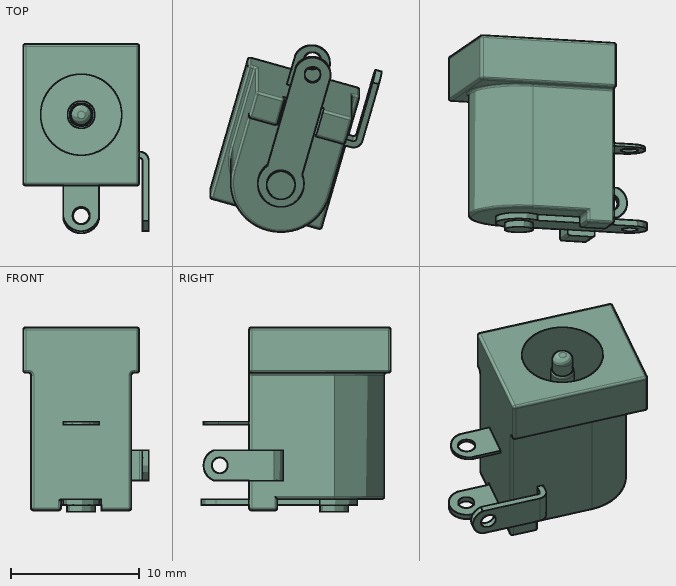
import cadquery as cq
import math


top_z = 14.3
cap_width = 9.0
cap_depth = 11.0
cap_height = 3.53
cap_bottom_z = top_z - cap_height
body_width = 7.79
body_base_z = 0.98
back_arc_y = 6.6
foot_bottom_z = 0.1
foot_depth = 2.2
slot_width = 3.12
slot_corner_radius = 0.15
edge_radius = 0.2
neck_radius = 0.19

socket_radius = 3.15
socket_depth = 9.0
socket_floor_z = top_z - socket_depth
socket_y = cap_depth / 2
pin_radius = 0.8
pin_flat_radius = 0.3
collar_radius = 0.9
collar_drop = 1.53
collar_rounding = 0.32
root_radius = 1.06

plate_thickness = 0.47
plate_bottom_z = body_base_z - plate_thickness
plate_disc_radius = 1.8
rivet_radius = 1.1

lug_width = 2.8
lug_tip_radius = 1.43
plate_lug_tip_y = -2.28
plate_lug_hole_y = -2.35
plate_lug_hole_radius = 0.62
thin_lug_tip_y = -2.1
thin_lug_hole_y = -2.32
thin_lug_hole_radius = 0.68
thin_lug_thickness = 0.24
thin_lug_z = 6.76
side_lug_width = 2.35
side_lug_tip_radius = 1.26
side_lug_hole_radius = 0.6
side_lug_tip_y = -2.26
side_lug_thickness = 0.5
side_lug_z = 3.6
side_lug_outer_x = 5.25
side_lug_back_y = 2.65
side_lug_bend_radius = 0.24


def upright_cylinder(radius, y, start_z, end_z):
    """Vertical cylinder on the symmetry plane."""
    return cq.Workplane("XY", origin=(0, y, start_z)).circle(radius).extrude(end_z - start_z)


def make_lug(plane, thickness, width, back_y, tip_y, tip_radius):
    """Flat strip with a disc-shaped tip, on a plane whose local y is the part's Y."""
    half_width = width / 2
    arc_start_y = tip_y - math.sqrt(tip_radius**2 - half_width**2)
    return (
        cq.Workplane(plane)
        .moveTo(-half_width, back_y)
        .lineTo(-half_width, arc_start_y)
        .threePointArc((0, tip_y - tip_radius), (half_width, arc_start_y))
        .lineTo(half_width, back_y)
        .close()
        .extrude(thickness)
    )


def drill_lug(lug, plane, thickness, hole_y, hole_radius):
    """Cut the solder hole through a lug made on the same plane."""
    return lug.cut(cq.Workplane(plane).center(0, hole_y).circle(hole_radius).extrude(thickness))


def make_shell():
    """Solid cap, body and foot block, before any edge is rounded."""
    half_width = body_width / 2
    cap = cq.Workplane("XY", origin=(0, 0, cap_bottom_z)).box(
        cap_width, cap_depth, cap_height, centered=(True, False, False)
    )
    body = (
        cq.Workplane("XY", origin=(0, 0, body_base_z))
        .moveTo(-half_width, 0)
        .lineTo(half_width, 0)
        .lineTo(half_width, back_arc_y)
        .threePointArc((0, back_arc_y + half_width), (-half_width, back_arc_y))
        .close()
        .extrude(cap_bottom_z - body_base_z)
    )
    foot_block = cq.Workplane("XY", origin=(0, 0, foot_bottom_z)).box(
        body_width, foot_depth, body_base_z - foot_bottom_z, centered=(True, False, False)
    )
    return cap.union(body).union(foot_block)


def round_edges(shell):
    """Round the inside corner under the cap, then every outer edge."""
    near = 0.01
    neck_half_width = body_width / 2 + neck_radius + near
    neck_edges = cq.selectors.BoxSelector(
        (-neck_half_width, near, cap_bottom_z - neck_radius - near),
        (neck_half_width, cap_depth - near, cap_bottom_z + near),
    )
    arc_seams = cq.selectors.BoxSelector(
        (-body_width, back_arc_y - near, body_base_z + near),
        (body_width, back_arc_y + near, cap_bottom_z - near),
    )
    foot_corner = cq.selectors.BoxSelector(
        (-near, foot_depth - near, body_base_z - near),
        (near, foot_depth + near, body_base_z + near),
    )
    shell = shell.edges(neck_edges).fillet(neck_radius)
    outer_edges = cq.selectors.InverseSelector(neck_edges + arc_seams + foot_corner)
    return shell.edges(outer_edges).fillet(edge_radius)


def cut_foot_slot(shell):
    """Split the foot block into two feet; round the left front edge and both inner corners."""
    slot = cq.Workplane("XY", origin=(0, 0, foot_bottom_z)).box(
        slot_width, foot_depth, body_base_z - foot_bottom_z, centered=(True, False, False)
    )
    left_front_edge = cq.selectors.NearestToPointSelector(
        (-slot_width / 2, 0, (foot_bottom_z + edge_radius + body_base_z) / 2)
    )
    shell = shell.cut(slot).edges(left_front_edge).fillet(edge_radius)
    for side in (-1, 1):
        inner_corner = cq.selectors.NearestToPointSelector(
            (side * slot_width / 2, foot_depth / 2, body_base_z)
        )
        shell = shell.edges(inner_corner).fillet(slot_corner_radius)
    return shell


def make_thin_lug():
    """Flat horizontal lug on the front face."""
    plane = cq.Plane(origin=(0, 0, thin_lug_z))
    lug = make_lug(plane, thin_lug_thickness, lug_width, 0, thin_lug_tip_y, lug_tip_radius)
    return drill_lug(lug, plane, thin_lug_thickness, thin_lug_hole_y, thin_lug_hole_radius)


def make_side_lug():
    """Upright lug that leaves the right side and bends towards the front."""
    thickness = side_lug_thickness
    outer_radius = side_lug_bend_radius + thickness
    outer_x = side_lug_outer_x
    inner_x = outer_x - thickness
    back_y = side_lug_back_y
    bend_y = back_y - outer_radius
    bend = (
        cq.Workplane("XY", origin=(0, 0, side_lug_z - side_lug_width / 2))
        .moveTo(body_width / 2, back_y)
        .lineTo(outer_x - outer_radius, back_y)
        .radiusArc((outer_x, bend_y), outer_radius)
        .lineTo(inner_x, bend_y)
        .radiusArc((outer_x - outer_radius, back_y - thickness), -side_lug_bend_radius)
        .lineTo(body_width / 2, back_y - thickness)
        .close()
        .extrude(side_lug_width)
    )
    plane = cq.Plane(origin=(inner_x, 0, side_lug_z), xDir=(0, 0, -1), normal=(1, 0, 0))
    arm = make_lug(plane, thickness, side_lug_width, bend_y, side_lug_tip_y, side_lug_tip_radius)
    return bend.union(drill_lug(arm, plane, thickness, side_lug_tip_y, side_lug_hole_radius))


def make_housing():
    """Moulding with its socket, the hole for the pin root and two fixed lugs."""
    shell = cut_foot_slot(round_edges(make_shell()))
    socket = upright_cylinder(socket_radius, socket_y, socket_floor_z, top_z)
    root_hole = upright_cylinder(root_radius, socket_y, body_base_z, socket_floor_z)
    return shell.cut(socket).cut(root_hole).union(make_thin_lug()).union(make_side_lug())


def make_pin():
    """Stepped pin from the plate up to the top face, with rounded tip and collar."""
    tip_rounding = pin_radius - pin_flat_radius
    root = upright_cylinder(root_radius, socket_y, body_base_z, socket_floor_z)
    arc_centre_inset = pin_radius - (collar_radius - collar_rounding)
    arc_rise = collar_rounding - math.sqrt(collar_rounding**2 - arc_centre_inset**2)
    collar_top_z = top_z - collar_drop + arc_rise
    collar = upright_cylinder(collar_radius, socket_y, socket_floor_z, collar_top_z)
    collar = collar.faces(">Z").edges().fillet(collar_rounding)
    tip = upright_cylinder(pin_radius, socket_y, socket_floor_z, top_z)
    tip = tip.faces(">Z").edges().fillet(tip_rounding)
    return root.union(collar).union(tip)


def make_centre_contact():
    """Pin, plate with its solder lug, and rivet head as one metal part."""
    plate = upright_cylinder(plate_disc_radius, back_arc_y, plate_bottom_z, body_base_z)
    plane = cq.Plane(origin=(0, 0, plate_bottom_z))
    lug = make_lug(plane, plate_thickness, lug_width, back_arc_y, plate_lug_tip_y, lug_tip_radius)
    lug = drill_lug(lug, plane, plate_thickness, plate_lug_hole_y, plate_lug_hole_radius)
    rivet = upright_cylinder(rivet_radius, back_arc_y, 0, plate_bottom_z)
    return plate.union(lug).union(rivet).union(make_pin())


housing = make_housing()
centre_contact = make_centre_contact()
result = cq.Compound.makeCompound([housing.val(), centre_contact.val()])